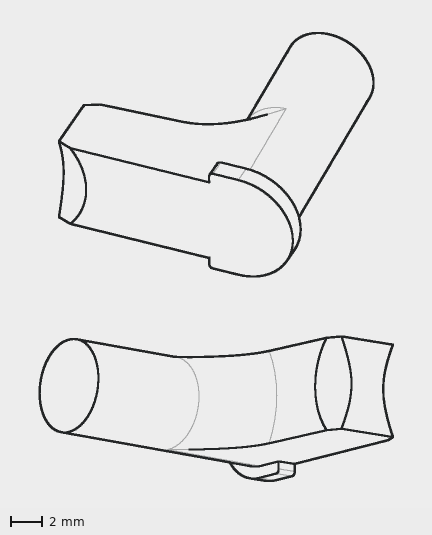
import cadquery as cq
import math

PART_LENGTH = 16.25
PART_DEPTH = 17.5
TILT = 3.0

PEG_DIAMETER = 6.0
PEG_RADIUS = PEG_DIAMETER / 2
ARM_HEIGHT = PEG_DIAMETER
ARM_END_DEPTH = 4.99
BLEND_RADIUS = 3.5

FLANGE_HEIGHT = 7.5
FLANGE_RADIUS = FLANGE_HEIGHT / 2
FLANGE_THICKNESS = 1.31
FLANGE_START_X = 10.5
FLANGE_CORNER_RADIUS = 0.26

RELIEF_RADIUS = 4.65
RELIEF_REACH = 2.05
RELIEF_ANGLE = 30.0

PEG_X = PART_LENGTH - FLANGE_RADIUS
ARM_PEG_DEPTH = ARM_END_DEPTH + PEG_X * math.tan(math.radians(TILT))
BACK_FACE_HEIGHT = ARM_PEG_DEPTH * math.cos(math.radians(TILT))


def lean(shape):
    """Move a shape built about the Y axis onto the leaning peg axis."""
    return shape.rotate((0, 0, 0), (0, 0, 1), TILT).translate((PEG_X, 0, 0))


def make_peg():
    """Leaning cylinder, trimmed flat at both ends."""
    overrun = PEG_RADIUS
    cylinder = (
        cq.Workplane("XZ", origin=(0, -overrun, 0))
        .circle(PEG_RADIUS)
        .extrude(-(PART_DEPTH + 2 * overrun))
    )
    trim = cq.Workplane("XY").box(
        2 * PART_LENGTH, PART_DEPTH, FLANGE_HEIGHT, centered=(True, False, True)
    ).translate((PEG_X, 0, 0))
    return lean(cylinder).intersect(trim)


def make_arm():
    """Flat-sided arm that ends on the peg axis."""
    axis_shift = BACK_FACE_HEIGHT * math.sin(math.radians(TILT))
    back_y = BACK_FACE_HEIGHT * math.cos(math.radians(TILT))
    return (
        cq.Workplane("XY")
        .polyline([(0, 0), (PEG_X, 0), (PEG_X - axis_shift, back_y), (0, ARM_END_DEPTH)])
        .close()
        .extrude(ARM_HEIGHT / 2, both=True)
    )


def make_blend():
    """Concave fillet turned about the peg axis, kept on the arm side between the arm's flat sides."""
    outer_radius = PEG_RADIUS + BLEND_RADIUS
    top = BACK_FACE_HEIGHT + BLEND_RADIUS
    arc_offset = BLEND_RADIUS * math.sqrt(0.5)
    flare = (
        cq.Workplane("XY")
        .moveTo(0, 0)
        .lineTo(outer_radius, 0)
        .lineTo(outer_radius, BACK_FACE_HEIGHT)
        .threePointArc((outer_radius - arc_offset, top - arc_offset), (PEG_RADIUS, top))
        .lineTo(0, top)
        .close()
        .revolve(360, (0, 0, 0), (0, 1, 0))
    )
    keep = cq.Workplane("XY").box(
        outer_radius, BLEND_RADIUS, ARM_HEIGHT, centered=(False, False, True)
    ).translate((-outer_radius, BACK_FACE_HEIGHT, 0))
    return lean(flare.intersect(keep))


def make_flange():
    """Round-ended plate with two small rounded corners facing the arm."""
    plate = (
        cq.Workplane("XZ")
        .moveTo(FLANGE_START_X, -FLANGE_RADIUS)
        .lineTo(PEG_X, -FLANGE_RADIUS)
        .threePointArc((PART_LENGTH, 0), (PEG_X, FLANGE_RADIUS))
        .lineTo(FLANGE_START_X, FLANGE_RADIUS)
        .close()
        .extrude(-FLANGE_THICKNESS)
    )
    return plate.edges("|Y and <X").fillet(FLANGE_CORNER_RADIUS)


def make_relief_cone():
    """Cone with its base on Y = 0 and its tip toward +Y."""
    tip = RELIEF_RADIUS * math.tan(math.radians(RELIEF_ANGLE))
    return (
        cq.Workplane("XY")
        .polyline([(0, 0), (RELIEF_RADIUS, 0), (0, tip)])
        .close()
        .revolve(360, (0, 0, 0), (0, 1, 0))
        .translate((RELIEF_REACH - RELIEF_RADIUS, 0, 0))
    )


front_relief = make_relief_cone()
back_relief = (
    make_relief_cone()
    .mirror("XZ")
    .rotate((0, 0, 0), (0, 0, 1), TILT)
    .translate((0, ARM_END_DEPTH, 0))
)

result = (
    make_arm()
    .union(make_peg())
    .union(make_blend())
    .union(make_flange())
    .cut(front_relief)
    .cut(back_relief)
)